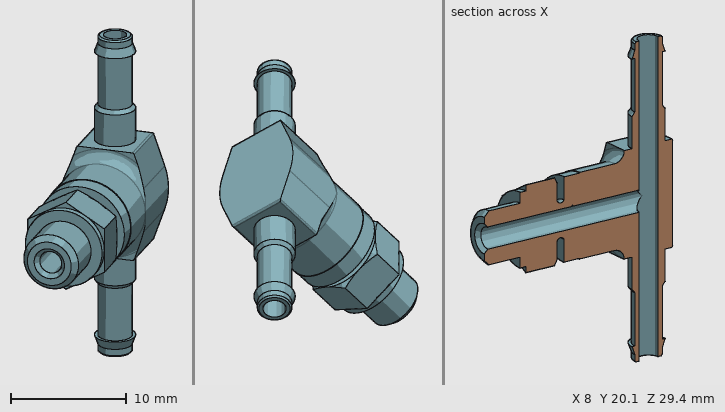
import cadquery as cq
import math

block_back = 2.6
block_front = -2.62
block_half_height = 5.0
block_half_width = 8.0 / 2
side_radius = 6.0
flank_start_height = 2.0
block_edge_round = 0.18
body_radius = 8.0 / 2
flare_radius = 1.0
envelope_radius = 2 * block_half_width
body_front = -7.38
collar_radius = 7.88 / 2
collar_front = -9.03

neck_radius = 1.62
neck_flare = 0.2
hex_back = -9.7
hex_front = -13.08
hex_across_flats = 7.0
hex_corner_radius = hex_across_flats / math.sqrt(3)
hex_chamfer_depth = 0.3
flange_front = -13.7
spigot_front = -17.52
spigot_radius = 5 / 2
spigot_chamfer = 0.5

bore_radius = 2.0 / 2
bore_mouth_radius = 1.38

hose_end = 14.7
hose_radius = 3.0 / 2
stem_radius = 3.6 / 2
stem_shoulder = 7.95
hose_shoulder = 8.3
barb_base = 13.17
barb_tip = 13.96
hose_end_chamfer = 0.15


def y_cylinder(radius, back, front):
    """Cylinder along Y from the back position to the front position."""
    return cq.Workplane("XZ", origin=(0, back, 0)).circle(radius).extrude(back - front)


def revolve_about_y(profile):
    return profile.close().revolve(360, (0, 0, 0), (0, 1, 0))


def make_block_prism():
    """Prism with rounded sides that run tangentially into flanks leaning to the flat top and bottom."""
    flank_angle = math.asin(flank_start_height / side_radius)
    flank_x = block_half_width - side_radius * (1 - math.cos(flank_angle))
    flank_height = block_half_height - flank_start_height
    top_x = flank_x - flank_height * math.tan(flank_angle)
    return (
        cq.Workplane("XZ", origin=(0, block_back, 0))
        .moveTo(-top_x, block_half_height)
        .lineTo(top_x, block_half_height)
        .lineTo(flank_x, flank_start_height)
        .threePointArc((block_half_width, 0), (flank_x, -flank_start_height))
        .lineTo(top_x, -block_half_height)
        .lineTo(-top_x, -block_half_height)
        .lineTo(-flank_x, -flank_start_height)
        .threePointArc((-block_half_width, 0), (-flank_x, flank_start_height))
        .close()
        .extrude(block_back - block_front + flare_radius)
    )


def make_body_envelope():
    """Round envelope of the whole body: wide at the block, then a concave flare and the cylinder."""
    flare_front = block_front - flare_radius
    diagonal = flare_radius * math.sqrt(0.5)
    flare_start = body_radius + flare_radius
    profile = (
        cq.Workplane("XY")
        .moveTo(0, block_back)
        .lineTo(envelope_radius, block_back)
        .lineTo(envelope_radius, block_front)
        .lineTo(flare_start, block_front)
        .threePointArc(
            (flare_start - diagonal, flare_front + diagonal),
            (body_radius, flare_front),
        )
        .lineTo(0, flare_front)
    )
    return revolve_about_y(profile)


def make_body():
    """Block with rounded top and bottom edges, flare, cylindrical body and collar."""
    prism = make_block_prism()
    prism = prism.faces("<Z or >Z").edges("|Y or >Y").fillet(block_edge_round)
    block = prism.intersect(make_body_envelope())
    body = y_cylinder(body_radius, block_front - flare_radius, body_front)
    collar = y_cylinder(collar_radius, body_front, collar_front)
    return block.union(body).union(collar)


def make_neck():
    """Waisted neck between the collar and the hexagon."""
    profile = (
        cq.Workplane("XY")
        .moveTo(0, collar_front)
        .lineTo(neck_radius + neck_flare, collar_front)
        .threePointArc(
            (neck_radius, (collar_front + hex_back) / 2),
            (neck_radius + neck_flare, hex_back),
        )
        .lineTo(0, hex_back)
    )
    return revolve_about_y(profile)


def make_hexagon():
    """Hexagon with corners up and down, its back corners chamfered."""
    hexagon = (
        cq.Workplane("XZ", origin=(0, hex_back, 0))
        .transformed(rotate=(0, 0, 90))
        .polygon(6, 2 * hex_corner_radius)
        .extrude(hex_back - hex_front)
    )
    envelope = revolve_about_y(
        cq.Workplane("XY")
        .moveTo(0, hex_back)
        .lineTo(hex_across_flats / 2, hex_back)
        .lineTo(hex_corner_radius, hex_back - hex_chamfer_depth)
        .lineTo(hex_corner_radius, hex_front)
        .lineTo(0, hex_front)
    )
    return hexagon.intersect(envelope)


def make_spigot():
    flange = y_cylinder(hex_across_flats / 2, hex_front, flange_front)
    spigot = y_cylinder(spigot_radius, flange_front, spigot_front)
    return flange.union(spigot.faces("<Y").chamfer(spigot_chamfer))


def make_hose_connector():
    """Upper hose connector: stepped stem, conical barb and chamfered end."""
    return (
        cq.Workplane("XZ")
        .lineTo(stem_radius, 0)
        .lineTo(stem_radius, stem_shoulder)
        .lineTo(hose_radius, hose_shoulder)
        .lineTo(hose_radius, barb_base)
        .lineTo(stem_radius, barb_base)
        .lineTo(hose_radius, barb_tip)
        .lineTo(hose_radius, hose_end - hose_end_chamfer)
        .lineTo(hose_radius - hose_end_chamfer, hose_end)
        .lineTo(0, hose_end)
        .close()
        .revolve(360, (0, 0, 0), (0, 1, 0))
    )


def make_bores():
    """Through bore along the hose, met by the countersunk spigot bore."""
    hose_bore = cq.Workplane("XY").circle(bore_radius).extrude(hose_end, both=True)
    mouth_depth = bore_mouth_radius - bore_radius
    spigot_bore = revolve_about_y(
        cq.Workplane("XY")
        .lineTo(bore_radius, 0)
        .lineTo(bore_radius, spigot_front + mouth_depth)
        .lineTo(bore_mouth_radius, spigot_front)
        .lineTo(0, spigot_front)
    )
    return hose_bore.union(spigot_bore)


connector = make_hose_connector()
result = make_body()
for piece in (make_neck(), make_hexagon(), make_spigot(), connector, connector.mirror("XY")):
    result = result.union(piece)
result = result.cut(make_bores())